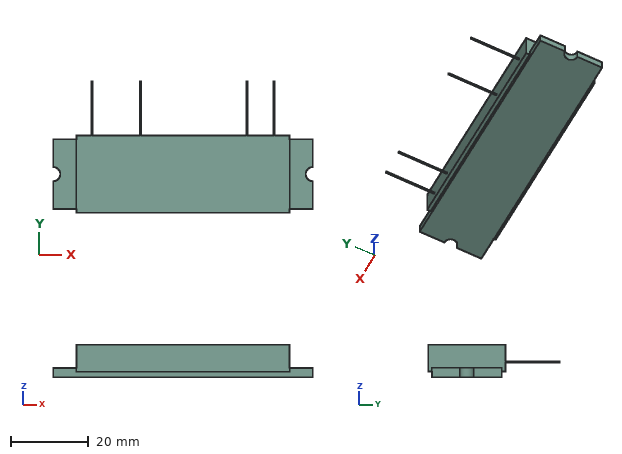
import cadquery as cq

FLANGE_LENGTH = 67.0
FLANGE_WIDTH = 18.0
FLANGE_THICKNESS = 2.5
NOTCH_DIAMETER = 3.6

HOUSING_LENGTH = 55.0
HOUSING_WIDTH = 20.0
HOUSING_BOTTOM = 1.5
HOUSING_TOP = 8.5

PIN_DIAMETER = 0.4
PIN_LENGTH = 14.0
PIN_HEIGHT = 4.0
PIN_POSITIONS = (-23.5, -11.0, 16.5, 23.5)
PIN_EMBEDMENT = 1.0


def make_flange():
    """Flat plate with a half-round screw notch in the middle of each end."""
    plate = cq.Workplane("XY").rect(FLANGE_LENGTH, FLANGE_WIDTH).extrude(FLANGE_THICKNESS)
    notches = (
        cq.Workplane("XY")
        .pushPoints([(-FLANGE_LENGTH / 2, 0), (FLANGE_LENGTH / 2, 0)])
        .circle(NOTCH_DIAMETER / 2)
        .extrude(FLANGE_THICKNESS)
    )
    return plate.cut(notches)


def make_housing():
    """Rectangular block seated around the flange."""
    return (
        cq.Workplane("XY")
        .workplane(offset=HOUSING_BOTTOM)
        .rect(HOUSING_LENGTH, HOUSING_WIDTH)
        .extrude(HOUSING_TOP - HOUSING_BOTTOM)
    )


def make_pin(x):
    """Round lead pointing along +Y, rooted inside the housing."""
    root = cq.Vector(x, HOUSING_WIDTH / 2 - PIN_EMBEDMENT, PIN_HEIGHT)
    pin = cq.Solid.makeCylinder(
        PIN_DIAMETER / 2, PIN_LENGTH + PIN_EMBEDMENT, root, cq.Vector(0, 1, 0)
    )
    return cq.Workplane(obj=pin)


result = make_flange().union(make_housing())
for pin_x in PIN_POSITIONS:
    result = result.union(make_pin(pin_x))